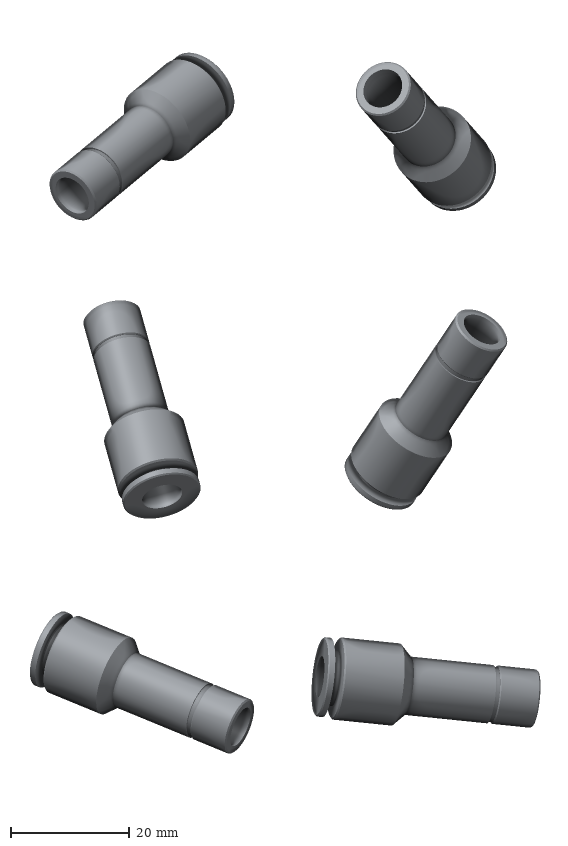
import cadquery as cq

length = 37.2
bore_diameter = 7.0
stem_diameter = 9.95
body_diameter = 14.0
collar_diameter = 13.5
neck_diameter = 9.4
groove_diameter = 9.4

groove_start = 7.0
groove_end = 7.75
cone_start = 22.02
body_start = 24.05
body_end = 34.45
collar_start = 36.05

stem_chamfer = 0.25
groove_chamfer = 0.2
body_chamfer = 0.25
collar_chamfer = 0.22
undercut_chamfer = 0.2

crown_height = 0.22

stem_radius = stem_diameter / 2
body_radius = body_diameter / 2
collar_radius = collar_diameter / 2
neck_radius = neck_diameter / 2
groove_radius = groove_diameter / 2
bore_radius = bore_diameter / 2

half_section = [
    (bore_radius, 0),
    (stem_radius - stem_chamfer, 0),
    (stem_radius, stem_chamfer),
    (stem_radius, groove_start - groove_chamfer),
    (stem_radius - groove_chamfer, groove_start),
    (groove_radius, groove_start),
    (groove_radius, groove_end),
    (stem_radius, groove_end),
    (stem_radius, cone_start),
    (body_radius, body_start),
    (body_radius, body_end - body_chamfer),
    (body_radius - body_chamfer, body_end),
    (neck_radius, body_end + crown_height),
    (neck_radius, collar_start - undercut_chamfer),
    (neck_radius + undercut_chamfer, collar_start),
    (collar_radius, collar_start),
    (collar_radius, length - collar_chamfer),
    (collar_radius - collar_chamfer, length),
    (bore_radius, length),
]

result = cq.Workplane("XY").polyline(half_section).close().revolve(360, (0, 0, 0), (0, 1, 0))